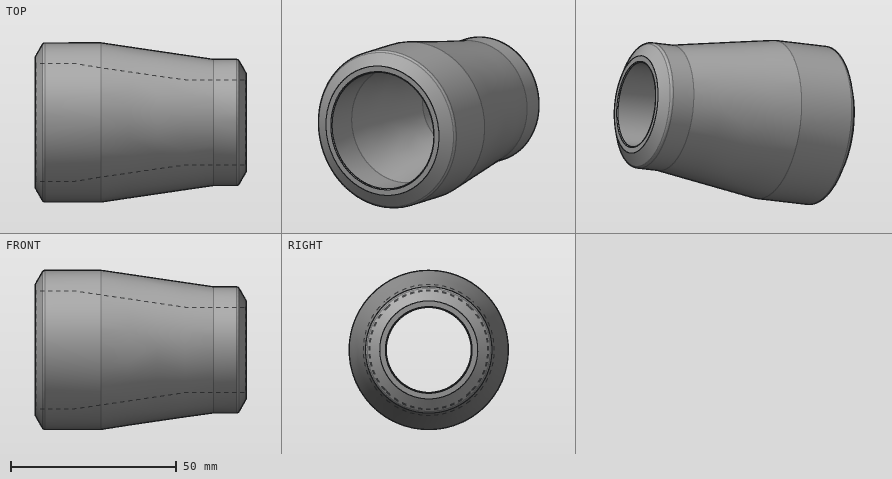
import cadquery as cq
import math

length = 64.0
wall = 6.3
large_radius = 48.3 / 2
small_radius = 38.3 / 2

taper_length = 34.0
outer_taper_start = 20.0
bore_taper_start = 12.0

land = 2.0
bevel_angle = 30.0
bevel_edge_radius = 1.0
bore_edge_chamfer = 0.3

bevel_height = wall - land
bevel_depth = bevel_height * math.tan(math.radians(bevel_angle))


def revolve_about_axis(profile):
    """Turn an open (X, radius) profile around the X axis; closing it adds the axis line."""
    return profile.close().revolve(360, (0, 0, 0), (1, 0, 0))


def make_body():
    """Solid outside shape: bevel, cylinder, cone, cylinder, bevel."""
    profile = (
        cq.Workplane("XZ")
        .lineTo(0, large_radius - bevel_height)
        .lineTo(bevel_depth, large_radius)
        .lineTo(outer_taper_start, large_radius)
        .lineTo(outer_taper_start + taper_length, small_radius)
        .lineTo(length - bevel_depth, small_radius)
        .lineTo(length, small_radius - bevel_height)
        .lineTo(length, 0)
    )
    return revolve_about_axis(profile)


def round_bevel_edge(body, x, radius):
    """Round the circular edge at x where a bevel meets its outer cylinder."""
    edge = cq.selectors.BoxSelector(
        (x - bevel_edge_radius, -2 * radius, -2 * radius),
        (x + bevel_edge_radius, 2 * radius, 2 * radius),
        boundingbox=True,
    )
    return body.edges("%CIRCLE").edges(edge).fillet(bevel_edge_radius)


def make_bore():
    """Tapered through bore with straight ends and a small chamfer at each mouth."""
    large_bore_radius = large_radius - wall
    small_bore_radius = small_radius - wall
    profile = (
        cq.Workplane("XZ")
        .lineTo(0, large_bore_radius + bore_edge_chamfer)
        .lineTo(bore_edge_chamfer, large_bore_radius)
        .lineTo(bore_taper_start, large_bore_radius)
        .lineTo(bore_taper_start + taper_length, small_bore_radius)
        .lineTo(length - bore_edge_chamfer, small_bore_radius)
        .lineTo(length, small_bore_radius + bore_edge_chamfer)
        .lineTo(length, 0)
    )
    return revolve_about_axis(profile)


body = make_body()
body = round_bevel_edge(body, bevel_depth, large_radius)
body = round_bevel_edge(body, length - bevel_depth, small_radius)

result = body.cut(make_bore())